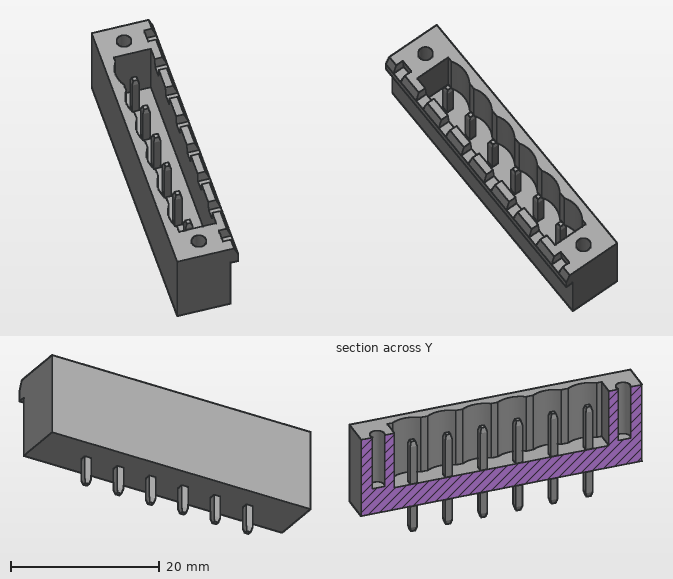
import cadquery as cq

pin_count = 6
pitch = 5.08
pin_width = 1.0
pin_tip_width = 0.6
pin_tip_length = 0.7
pin_bottom = -4.0
pin_top = 10.0

housing_length = (pin_count + 2) * pitch
housing_height = 12.0
front_y = -3.8
back_y = 3.7
overall_depth = 8.6
lip_back_y = front_y + overall_depth
lip_bottom = 9.0
lip_chamfer_depth = 0.6
lip_chamfer_height = 1.5

cavity_length = 31.0
wall_thickness = 1.7
cavity_front_y = front_y + wall_thickness
cavity_back_y = lip_back_y - wall_thickness
cavity_floor = 3.5
scallop_width = 4.1
scallop_depth = 0.6

slot_floor = housing_height - lip_chamfer_height
slot_floor_width = 1.5
slot_top_width = 1.95

screw_hole_diameter = 2.0
screw_hole_depth = 8.0


def row_positions(count):
    """X positions of a centred row at the pin pitch."""
    return [(i - (count - 1) / 2) * pitch for i in range(count)]


pin_xs = row_positions(pin_count)
slot_xs = row_positions(pin_count + 2)


def make_housing():
    """Block with a chamfered latching lip along the top of the back face."""
    return (
        cq.Workplane("YZ")
        .moveTo(front_y, 0)
        .lineTo(back_y, 0)
        .lineTo(back_y, lip_bottom)
        .lineTo(lip_back_y, lip_bottom)
        .lineTo(lip_back_y, housing_height - lip_chamfer_height)
        .lineTo(lip_back_y - lip_chamfer_depth, housing_height)
        .lineTo(front_y, housing_height)
        .close()
        .extrude(housing_length / 2, both=True)
    )


def make_cavity():
    """Plug space whose front edge bulges outward in an arc at every pin."""
    half_length = cavity_length / 2
    outline = (
        cq.Workplane("XY", origin=(0, 0, cavity_floor))
        .moveTo(-half_length, cavity_back_y)
        .lineTo(-half_length, cavity_front_y)
    )
    for x in pin_xs:
        outline = outline.lineTo(x - scallop_width / 2, cavity_front_y).threePointArc(
            (x, cavity_front_y - scallop_depth),
            (x + scallop_width / 2, cavity_front_y),
        )
    return (
        outline.lineTo(half_length, cavity_front_y)
        .lineTo(half_length, cavity_back_y)
        .close()
        .extrude(housing_height - cavity_floor)
    )


def make_slot(x):
    """Coding slot from the cavity back wall out through the lip, widening upward."""
    half_floor = slot_floor_width / 2
    half_top = slot_top_width / 2
    return (
        cq.Workplane("XZ", origin=(x, lip_back_y, 0))
        .moveTo(-half_floor, slot_floor)
        .lineTo(half_floor, slot_floor)
        .lineTo(half_top, housing_height)
        .lineTo(-half_top, housing_height)
        .close()
        .extrude(wall_thickness)
    )


def make_screw_hole(x):
    """Blind screw hole in an end flange."""
    return (
        cq.Workplane("XY", origin=(x, 0, housing_height))
        .circle(screw_hole_diameter / 2)
        .extrude(-screw_hole_depth)
    )


def make_pin_tip(x, shoulder_z, end_z):
    """Tapered pin end running from the full width to the tip width."""
    return (
        cq.Workplane("XY", origin=(x, 0, shoulder_z))
        .rect(pin_width, pin_width)
        .workplane(offset=end_z - shoulder_z)
        .rect(pin_tip_width, pin_tip_width)
        .loft(ruled=True)
    )


def make_pin(x):
    """Square pin tapered at both ends."""
    lower_shoulder = pin_bottom + pin_tip_length
    upper_shoulder = pin_top - pin_tip_length
    shank = (
        cq.Workplane("XY", origin=(x, 0, lower_shoulder))
        .rect(pin_width, pin_width)
        .extrude(upper_shoulder - lower_shoulder)
    )
    return (
        shank.union(make_pin_tip(x, lower_shoulder, pin_bottom))
        .union(make_pin_tip(x, upper_shoulder, pin_top))
    )


result = make_housing().cut(make_cavity())

for slot_x in slot_xs:
    result = result.cut(make_slot(slot_x))

for hole_x in (slot_xs[0], slot_xs[-1]):
    result = result.cut(make_screw_hole(hole_x))

for pin_x in pin_xs:
    result = result.union(make_pin(pin_x))